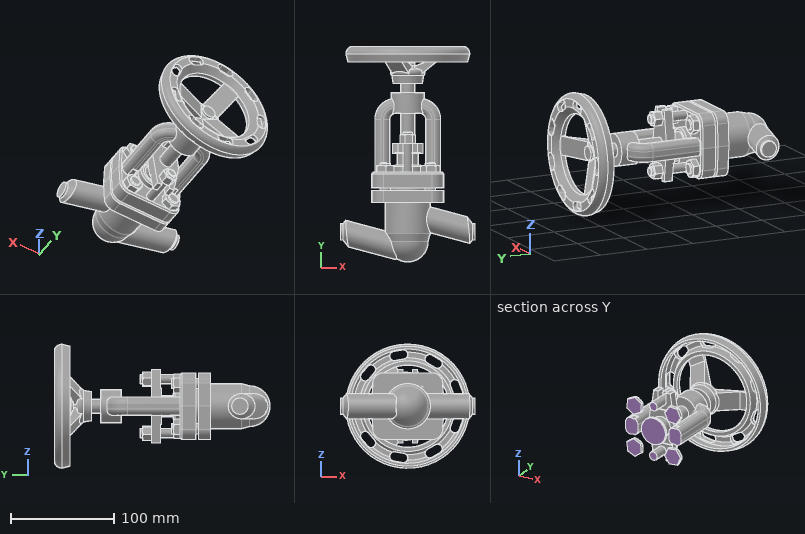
import cadquery as cq
import math

overall_length = 208.5

body_radius = 21.9
nose_radius = 19.8
nose_taper_start = 27.7
pipe_radius = 12.2
pipe_tilt = math.radians(15)
pipe_axis_y = 29.2
pipe_reach = 65.0
pipe_start = 8.3
pipe_length = 78.0
land_radius = 8.0
land_length = 2.5
bevel_angle = math.radians(37.5)
lower_flange_bottom = 57.5
lower_flange_top = 69.2
upper_flange_bottom = 71.7
upper_flange_top = 87.0
flange_half_width = 35.0
flange_corner_half_width = 33.4
flange_half_height = 32.3
flange_corner_radius = 10.5
flange_chamfer = 1.7
spigot_radius = 17.0
bolt_offset = 21.9
bolt_radius = 5.0
bolt_nut_radius = 9.4
bolt_nut_height = 6.5
bolt_nut_turn = 5.0
bolt_tip = 1.7
nut_clearance_radius = 13.5
nut_clearance_height = 9.2
nut_bevel_ratio = 0.1
box_radius = 14.0
box_height = 6.9
box_chamfer = 1.7
bush_radius = 10.2
gland_bottom = 106.0
gland_top = 114.7
gland_pad_step = 1.0
gland_pad_half_height = 17.5
gland_half_width = 14.8
gland_tip_half_width = 9.4
gland_half_height = 35.7
stud_offset = 26.0
stud_radius = 4.5
stud_top = 126.0
stud_chamfer = 0.6
stud_nut_radius = 7.7
stud_nut_height = 8.5
stud_nut_turn = 8.0
slot_width = 8.8
yoke_hub_radius = 16.0
yoke_hub_bottom = 143.7
yoke_hub_top = 163.9
arm_width = 14.5
arm_depth = 18.0
arm_rounding = 6.0
arm_offset = 24.5
arm_bend_radius = 13.1
stem_radius = 6.9
stem_top = 192.7
wheel_radius = 60.0
wheel_bottom = 193.3
wheel_widest = 201.0
rim_top_radius = 55.0
rim_rounding = 8.1
slot_count = 9
slot_lead = 10.0
wheel_slot_radius = 50.0
wheel_slot_length = 17.5
wheel_slot_width = 8.8
spoke_count = 3
spoke_width = 18.8


def disc(radius, bottom, top, x=0.0, z=0.0):
    """Cylinder along Y."""
    plane = cq.Workplane("XZ", origin=(x, bottom, z))
    return plane.circle(radius).extrude(bottom - top)


def turned(profile):
    """Solid of revolution about the stem axis."""
    return profile.close().revolve(360, (0, 0), (0, 1))


def waisted_plate(middle_half_width, end_half_width, half_height, bottom, top):
    """Six-sided plate, widest at Z = 0 and narrower at both ends."""
    outline = [
        (middle_half_width, 0),
        (end_half_width, half_height),
        (-end_half_width, half_height),
        (-middle_half_width, 0),
        (-end_half_width, -half_height),
        (end_half_width, -half_height),
    ]
    plane = cq.Workplane("XZ", origin=(0, bottom, 0))
    return plane.polyline(outline).close().extrude(bottom - top)


def nut(radius, bottom, height, x, z, turn):
    """Hexagonal nut with its corners bevelled at the top."""
    block = (
        cq.Workplane("XZ", origin=(x, bottom, z))
        .transformed(rotate=(0, 0, turn))
        .polygon(6, 2 * radius)
        .extrude(-height)
    )
    bevelled = disc(radius, bottom, bottom + height, x, z).faces(">Y").chamfer(nut_bevel_ratio * radius)
    return block.intersect(bevelled)


def make_body():
    return turned(
        cq.Workplane("XY")
        .moveTo(0, 0)
        .radiusArc((nose_radius, nose_radius), -nose_radius)
        .lineTo(body_radius, nose_taper_start)
        .lineTo(body_radius, lower_flange_bottom)
        .lineTo(0, lower_flange_bottom)
    )


def make_pipe(side):
    """Tilted pipe end, bevelled for welding; its end face is square to X."""
    start_x = side * pipe_start
    start_y = pipe_axis_y + side * (pipe_reach - pipe_start) * math.tan(pipe_tilt)
    direction = (side * math.cos(pipe_tilt), -math.sin(pipe_tilt), 0)
    if side < 0:
        direction = (-math.cos(pipe_tilt), math.sin(pipe_tilt), 0)
    plane = cq.Plane(origin=(start_x, start_y, 0), xDir=(0, 0, 1), normal=direction)
    pipe = cq.Workplane(plane).circle(pipe_radius).extrude(pipe_length)

    bevel_start = pipe_reach - land_length
    envelope_radius = 2 * pipe_reach
    bevel_end = bevel_start - (envelope_radius - land_radius) * math.tan(bevel_angle)
    envelope = (
        cq.Workplane("XY", origin=(0, pipe_axis_y, 0))
        .moveTo(side * bevel_end, 0)
        .lineTo(side * bevel_end, envelope_radius)
        .lineTo(side * bevel_start, land_radius)
        .lineTo(side * pipe_reach, land_radius)
        .lineTo(side * pipe_reach, 0)
        .close()
        .revolve(360, (0, 0), (1, 0))
    )
    return pipe.intersect(envelope)


def make_flange(bottom, top):
    """Flange with rounded corners and sides that rise slightly to the middle."""
    plate = waisted_plate(flange_half_width, flange_corner_half_width, flange_half_height, bottom, top)
    corners = plate.edges("|Y").edges(">Z or <Z")
    return corners.fillet(flange_corner_radius)


def make_bolt(side_x, side_z):
    """Flange bolt with its nut on the upper flange."""
    x = side_x * bolt_offset
    z = side_z * bolt_offset
    nut_top = upper_flange_top + bolt_nut_height
    shank = disc(bolt_radius, lower_flange_bottom, nut_top + bolt_tip, x, z)
    turn = (90 if side_x < 0 else 0) - side_z * bolt_nut_turn
    return shank.union(nut(bolt_nut_radius, upper_flange_top, bolt_nut_height, x, z, turn))


def make_gland():
    """Gland plate tapering to two slotted ends, with the bush below it."""
    pad_bottom = gland_bottom - gland_pad_step
    plate = waisted_plate(gland_half_width, gland_tip_half_width, gland_half_height, pad_bottom, gland_top)
    slot_run = 2 * (gland_half_height - stud_offset)
    for side in (-1, 1):
        slot_end = disc(slot_width / 2, pad_bottom, gland_top, 0, side * stud_offset)
        slot_mouth = (
            cq.Workplane("XY")
            .box(slot_width, 2 * gland_top, slot_run)
            .translate((0, 0, side * (stud_offset + slot_run / 2)))
        )
        end_relief = (
            cq.Workplane("XY")
            .box(4 * gland_half_width, 2 * gland_pad_step, gland_half_height)
            .translate((0, pad_bottom, side * (gland_pad_half_height + gland_half_height / 2)))
        )
        plate = plate.cut(slot_end).cut(slot_mouth).cut(end_relief)
    return plate.union(disc(bush_radius, upper_flange_top, gland_top))


def make_stud(side):
    """Gland stud with its nut on the gland plate."""
    z = side * stud_offset
    stud = disc(stud_radius, upper_flange_top, stud_top, 0, z).faces(">Y").chamfer(stud_chamfer)
    return stud.union(nut(stud_nut_radius, gland_top, stud_nut_height, 0, z, -side * stud_nut_turn))


def make_yoke():
    """Hub around the stem carried by two bent arms standing on the upper flange."""
    bend_x = arm_offset - arm_bend_radius
    bend_y = yoke_hub_bottom + arm_width / 2 - arm_bend_radius
    bend_top = bend_y + arm_bend_radius
    turn = arm_bend_radius * math.sqrt(0.5)
    yoke = disc(yoke_hub_radius, yoke_hub_bottom, yoke_hub_top)
    for side in (-1, 1):
        path = (
            cq.Workplane("XY")
            .moveTo(side * arm_offset, upper_flange_top)
            .lineTo(side * arm_offset, bend_y)
            .threePointArc((side * (bend_x + turn), bend_y + turn), (side * bend_x, bend_top))
        )
        section = (
            cq.Workplane("XZ", origin=(side * arm_offset, upper_flange_top, 0))
            .sketch()
            .rect(arm_width, arm_depth)
            .vertices()
            .fillet(arm_rounding)
            .finalize()
        )
        yoke = yoke.union(section.sweep(path))
    clearance_top = upper_flange_top + nut_clearance_height
    for side_x in (-1, 1):
        for side_z in (-1, 1):
            x = side_x * bolt_offset
            z = side_z * bolt_offset
            yoke = yoke.cut(disc(nut_clearance_radius, upper_flange_top, clearance_top, x, z))
    return yoke


def make_wheel():
    """Handwheel: channel-shaped rim with slots, three sloping spokes and a hub."""
    rim = turned(
        cq.Workplane("XY")
        .moveTo(55.3, wheel_bottom)
        .lineTo(58.0, wheel_bottom)
        .lineTo(wheel_radius, wheel_widest)
        .radiusArc((rim_top_radius, overall_length), -rim_rounding)
        .lineTo(47.0, overall_length)
        .lineTo(39.6, 202.2)
        .lineTo(39.6, 197.5)
        .lineTo(43.8, 197.5)
        .lineTo(47.0, 204.3)
        .lineTo(52.3, 204.3)
        .lineTo(55.3, 201.2)
    )
    slot = (
        cq.Workplane("XZ", origin=(0, wheel_bottom, 0))
        .center(0, wheel_slot_radius)
        .slot2D(wheel_slot_length, wheel_slot_width)
        .extrude(-overall_length)
    )
    for index in range(slot_count):
        rim = rim.cut(slot.rotate((0, 0, 0), (0, 1, 0), index * 360 / slot_count - slot_lead))
    hub = turned(
        cq.Workplane("XY")
        .moveTo(0, 172.5)
        .lineTo(14.2, 172.5)
        .lineTo(15.5, 180.1)
        .threePointArc((16.7, 182.6), (15.2, 186.0))
        .lineTo(6.7, 190.2)
        .lineTo(0, 190.2)
    )
    spoke_side = [(7.3, 176.5), (32.3, 197.2), (41.7, 199.3), (41.7, 203.0), (38.5, 202.2), (6.7, 189.3)]
    spoke = cq.Workplane("XY").polyline(spoke_side).close().extrude(spoke_width / 2, both=True)
    wheel = rim.union(hub)
    for index in range(spoke_count):
        wheel = wheel.union(spoke.rotate((0, 0, 0), (0, 1, 0), index * 360 / spoke_count))
    return wheel


upper_flange = make_flange(upper_flange_bottom, upper_flange_top).faces(">Y").chamfer(flange_chamfer)
stuffing_box = disc(box_radius, upper_flange_top, upper_flange_top + box_height).faces(">Y").chamfer(box_chamfer)

result = make_body()
for part in (
    make_pipe(-1),
    make_pipe(1),
    make_flange(lower_flange_bottom, lower_flange_top),
    disc(spigot_radius, lower_flange_top, upper_flange_bottom),
    upper_flange,
    stuffing_box,
    make_gland(),
    make_stud(-1),
    make_stud(1),
    make_yoke(),
    disc(stem_radius, upper_flange_top, stem_top),
    make_wheel(),
):
    result = result.union(part)
for side_x in (-1, 1):
    for side_z in (-1, 1):
        result = result.union(make_bolt(side_x, side_z))